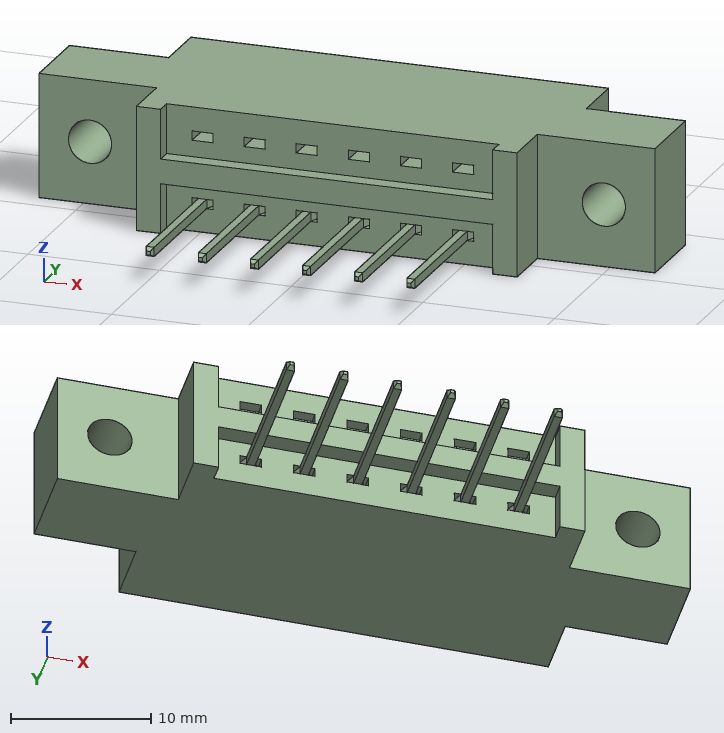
import cadquery as cq

overall_length = 46.8
height = 9.4
depth = 15.2
front_block_length = 28.9
back_block_length = 31.72
ear_front_y = 4.2
ear_back_y = 10.57

mount_hole_diameter = 3.28
mount_hole_spacing = 39.0

recess_length = 25.2
recess_depth = 1.25
rail_height = 1.85
recess_height = (height - rail_height) / 2

contact_count = 6
contact_span = 19.8
contact_pitch = contact_span / (contact_count - 1)
row_offset = 2.55
slot_width = 1.6
slot_height = 0.7
contact_positions = [i * contact_pitch - contact_span / 2 for i in range(contact_count)]

tail_width = 0.6
tail_reach = 9.95
tip_length = 0.37
tip_size = 0.3
shoulder_setback = 0.1
shoulder_length = 1.08


def make_block(length, y_front, y_back, block_height=height):
    """Block centred on X and Z between two Y positions."""
    return cq.Workplane("XY").box(length, y_back - y_front, block_height).translate(
        (0, (y_front + y_back) / 2, 0)
    )


def make_housing():
    front_block = make_block(front_block_length, 0, ear_back_y)
    ears = make_block(overall_length, ear_front_y, ear_back_y)
    back_block = make_block(back_block_length, ear_front_y, depth)
    body = front_block.union(ears).union(back_block)

    mount_holes = (
        cq.Workplane("XZ")
        .pushPoints([(-mount_hole_spacing / 2, 0), (mount_hole_spacing / 2, 0)])
        .circle(mount_hole_diameter / 2)
        .extrude(-depth)
    )
    body = body.cut(mount_holes)

    recess = make_block(recess_length, 0, recess_depth, recess_height)
    slot = make_block(slot_width, 0, depth, slot_height)
    for side in (-1, 1):
        body = body.cut(recess.translate((0, 0, side * (height - recess_height) / 2)))
        for x in contact_positions:
            body = body.cut(slot.translate((x, 0, side * row_offset)))
    return body


def make_pin(x):
    """One pin in the lower row, pointing toward -Y."""
    shoulder_y = recess_depth + shoulder_setback
    root_y = shoulder_y + shoulder_length
    tip_base_y = tip_length - tail_reach
    half_tail = tail_width / 2
    half_root = slot_width / 2

    blade = (
        cq.Workplane("XY")
        .polyline([
            (-half_tail, tip_base_y),
            (half_tail, tip_base_y),
            (half_tail, shoulder_y),
            (half_root, root_y),
            (half_root, depth),
            (-half_root, depth),
            (-half_root, root_y),
            (-half_tail, shoulder_y),
        ])
        .close()
        .extrude(slot_height / 2, both=True)
    )
    tip = (
        cq.Workplane("XZ", origin=(0, tip_base_y, 0))
        .rect(tail_width, slot_height)
        .workplane(offset=tip_length)
        .rect(tip_size, tip_size)
        .loft(combine=True)
    )
    return blade.union(tip).translate((x, 0, -row_offset))


housing = make_housing()
pins = [make_pin(x) for x in contact_positions]

result = cq.Compound.makeCompound([housing.val(), *[pin.val() for pin in pins]])